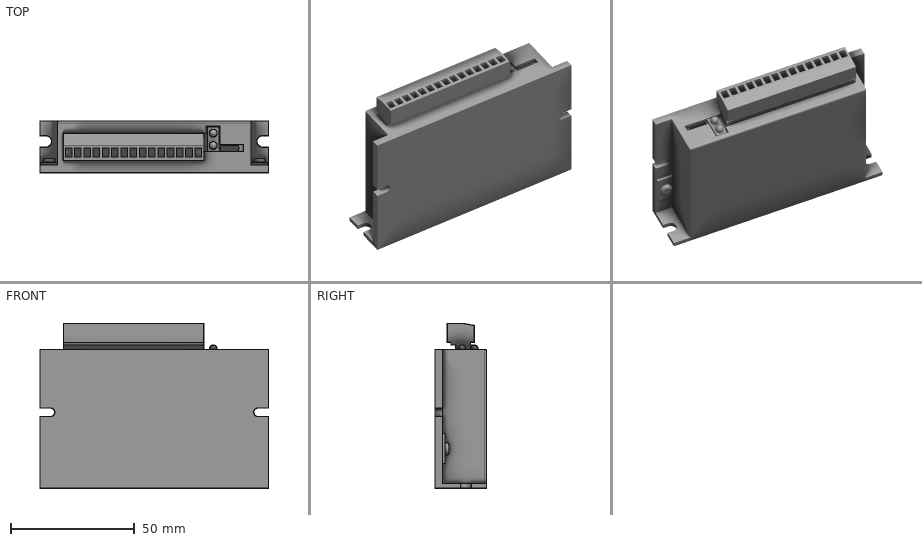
import cadquery as cq

WIDTH = 92.6
DEPTH = 21.0
BODY_TOP = 56.2
PLATE_THICKNESS = 3.15
FOOT_THICKNESS = 1.9
BODY_WIDTH = 78.3
COVER_EDGE_RADIUS = 0.8

PLATE_SLOT_WIDTH = 3.3
PLATE_SLOT_DEPTH = 6.0
PLATE_SLOT_Z = 30.7
FOOT_SLOT_WIDTH = 4.5
FOOT_SLOT_DEPTH = 4.7
FOOT_SLOT_Y = 12.7

PAD_THICKNESS = 0.9
PAD_HEIGHT = 12.0
PAD_END_GAP = 0.5
PAD_Z = 16.1
SCREW_DIAMETER = 5.1
SCREW_FLAT_DIAMETER = 3.6
SCREW_RIM_HEIGHT = 0.6
SCREW_HEIGHT = 1.7
SCREW_Z = 15.9
SCREW_END_DISTANCE = 3.9
SCREW_X = WIDTH / 2 - SCREW_END_DISTANCE

CONNECTOR_LEFT = -36.8
CONNECTOR_WIDTH = 56.9
CONNECTOR_FRONT = 5.0
CONNECTOR_BACK = 16.0
CONNECTOR_TOP = 66.8
CONNECTOR_BACK_TOP = 65.9
CONNECTOR_BOTTOM = 59.0
SLOPE_START_Y = 11.1
STEP_FRONT = 6.5
STEP_BACK = 14.5
STEP_BOTTOM = 57.9
BASE_FRONT = 8.4
BASE_BACK = 15.4

WIRE_COUNT = 15
FIRST_WIRE_OFFSET = 2.1
LAST_WIRE_OFFSET = 2.3
WIRE_PITCH = (CONNECTOR_WIDTH - FIRST_WIRE_OFFSET - LAST_WIRE_OFFSET) / (WIRE_COUNT - 1)
WIRE_WIDTH = 2.7
WIRE_FRONT = 6.4
WIRE_BACK = 10.1
WIRE_DEPTH = 5.6
FIRST_WIRE_X = CONNECTOR_LEFT + FIRST_WIRE_OFFSET

RECESS_DEPTH = 1.9
RECESS_FRONT = 8.7
RECESS_BACK = 15.9
RECESS_FLOOR = BODY_TOP - RECESS_DEPTH
LAMP_BAY_LEFT = 21.0
LAMP_BAY_RIGHT = 26.7
LAMP_BAY_BACK = 19.0
PORT_BAY_RIGHT = 36.0
PORT_BAY_BACK = 11.5

LAMP_GAP = 0.6
LAMP_HOLDER_DROP = 0.5
LAMP_DIAMETER = 3.15
LAMP_DOME_Z = 56.4
LAMP_YS = (11.0, 16.0)
LAMP_X = (LAMP_BAY_LEFT + LAMP_BAY_RIGHT) / 2

PORT_X = 30.5
PORT_BACK = 11.0
PORT_SHOULDER_Y = 10.1
PORT_WIDTH = 7.7
PORT_NARROW_WIDTH = 7.1
PORT_DEPTH = 3.7


def block(x0, x1, y0, y1, z0, z1):
    """Box between two corners."""
    return cq.Workplane("XY").box(x1 - x0, y1 - y0, z1 - z0, centered=False).translate((x0, y0, z0))


def both_ends(shape):
    """A shape together with its mirror image at the other end of the part."""
    return shape.union(shape.mirror("YZ"))


def housing():
    """Front plate and foot carrying a cover with rounded rear edges."""
    half = WIDTH / 2
    body_half = BODY_WIDTH / 2
    plate = block(-half, half, 0, PLATE_THICKNESS, 0, BODY_TOP)
    foot = block(-half, half, 0, DEPTH, 0, FOOT_THICKNESS)
    cover = block(-body_half, body_half, 0, DEPTH, FOOT_THICKNESS, BODY_TOP)
    cover = cover.edges(">Y and (|Z or >Z)").fillet(COVER_EDGE_RADIUS)
    return plate.union(foot).union(cover)


def end_slot(plane, width, depth, centre, thickness):
    """Round-bottomed slot cut inward from the left end; centre is its place across the end."""
    radius = width / 2
    round_x = -WIDTH / 2 + depth - radius
    return (
        cq.Workplane(plane)
        .moveTo(-WIDTH / 2, centre - radius)
        .lineTo(round_x, centre - radius)
        .threePointArc((round_x + radius, centre), (round_x, centre + radius))
        .lineTo(-WIDTH / 2, centre + radius)
        .close()
        .extrude(thickness)
    )


def mounting_slots():
    """Slots through the plate and the foot, at both ends."""
    plate_slot = end_slot("XZ", PLATE_SLOT_WIDTH, PLATE_SLOT_DEPTH, PLATE_SLOT_Z, -PLATE_THICKNESS)
    foot_slot = end_slot("XY", FOOT_SLOT_WIDTH, FOOT_SLOT_DEPTH, FOOT_SLOT_Y, FOOT_THICKNESS)
    return both_ends(plate_slot.union(foot_slot))


def clamp_screws():
    """Pad with a flat-topped domed screw head on the back of the plate, at both ends."""
    pad_back = PLATE_THICKNESS + PAD_THICKNESS
    pad = block(
        -WIDTH / 2 + PAD_END_GAP, -BODY_WIDTH / 2,
        PLATE_THICKNESS, pad_back,
        PAD_Z - PAD_HEIGHT / 2, PAD_Z + PAD_HEIGHT / 2,
    )
    screw = (
        cq.Workplane("XY", origin=(-SCREW_X, pad_back, SCREW_Z))
        .lineTo(SCREW_DIAMETER / 2, 0)
        .lineTo(SCREW_DIAMETER / 2, SCREW_RIM_HEIGHT)
        .tangentArcPoint((SCREW_FLAT_DIAMETER / 2, SCREW_HEIGHT), relative=False)
        .lineTo(0, SCREW_HEIGHT)
        .close()
        .revolve(360, (0, 0, 0), (0, 1, 0))
    )
    return both_ends(pad.union(screw))


def recess():
    """Connector channel that opens into a lamp bay and a port bay."""
    bays = (
        (CONNECTOR_LEFT, LAMP_BAY_RIGHT, RECESS_BACK),
        (LAMP_BAY_LEFT, LAMP_BAY_RIGHT, LAMP_BAY_BACK),
        (LAMP_BAY_LEFT, PORT_BAY_RIGHT, PORT_BAY_BACK),
    )
    cut = cq.Workplane("XY")
    for left, right, back in bays:
        cut = cut.union(block(left, right, RECESS_FRONT, back, RECESS_FLOOR, BODY_TOP))
    return cut


def port():
    """Socket opening, narrower at its front and back than at its shoulders."""
    wide = PORT_WIDTH / 2
    narrow = PORT_NARROW_WIDTH / 2
    outline = [
        (-narrow, RECESS_FRONT),
        (narrow, RECESS_FRONT),
        (wide, PORT_SHOULDER_Y),
        (narrow, PORT_BACK),
        (-narrow, PORT_BACK),
        (-wide, PORT_SHOULDER_Y),
    ]
    return cq.Workplane("XY", origin=(PORT_X, 0, RECESS_FLOOR)).polyline(outline).close().extrude(-PORT_DEPTH)


def connector():
    """Stepped terminal block with a sloping rear top and a row of wire openings."""
    profile = [
        (BASE_FRONT, RECESS_FLOOR),
        (BASE_FRONT, STEP_BOTTOM),
        (STEP_FRONT, STEP_BOTTOM),
        (STEP_FRONT, CONNECTOR_BOTTOM),
        (CONNECTOR_FRONT, CONNECTOR_BOTTOM),
        (CONNECTOR_FRONT, CONNECTOR_TOP),
        (SLOPE_START_Y, CONNECTOR_TOP),
        (CONNECTOR_BACK, CONNECTOR_BACK_TOP),
        (CONNECTOR_BACK, CONNECTOR_BOTTOM),
        (STEP_BACK, CONNECTOR_BOTTOM),
        (STEP_BACK, STEP_BOTTOM),
        (BASE_BACK, STEP_BOTTOM),
        (BASE_BACK, RECESS_FLOOR),
    ]
    shell = cq.Workplane("YZ", origin=(CONNECTOR_LEFT, 0, 0)).polyline(profile).close().extrude(CONNECTOR_WIDTH)
    for index in range(WIRE_COUNT):
        x = FIRST_WIRE_X + index * WIRE_PITCH
        shell = shell.cut(
            block(
                x - WIRE_WIDTH / 2, x + WIRE_WIDTH / 2,
                WIRE_FRONT, WIRE_BACK,
                CONNECTOR_TOP - WIRE_DEPTH, CONNECTOR_TOP,
            )
        )
    return shell


def lamps():
    """Lamp holder just below the top face, with two domed lamps."""
    holder = block(
        LAMP_BAY_LEFT + LAMP_GAP, LAMP_BAY_RIGHT - LAMP_GAP,
        RECESS_FRONT, LAMP_BAY_BACK - LAMP_GAP,
        RECESS_FLOOR, BODY_TOP - LAMP_HOLDER_DROP,
    )
    radius = LAMP_DIAMETER / 2
    for y in LAMP_YS:
        stem = cq.Workplane("XY", origin=(LAMP_X, y, RECESS_FLOOR)).circle(radius)
        stem = stem.extrude(LAMP_DOME_Z - RECESS_FLOOR)
        dome = cq.Workplane("XY").sphere(radius, angle1=0).translate((LAMP_X, y, LAMP_DOME_Z))
        holder = holder.union(stem).union(dome)
    return holder


result = housing().cut(mounting_slots()).cut(recess()).cut(port())
result = result.union(clamp_screws()).union(connector()).union(lamps())